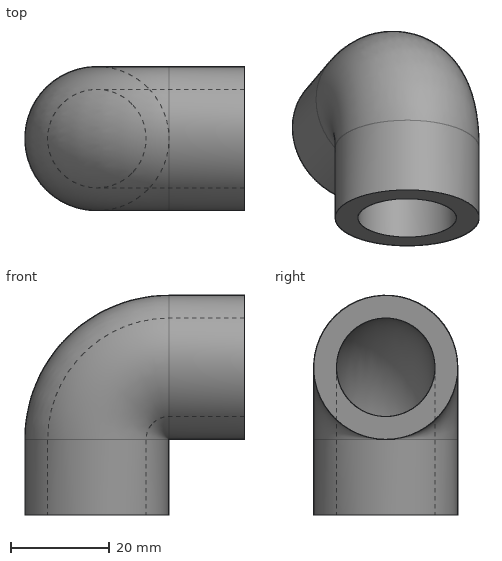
import cadquery as cq

overall_length = 44.65
outer_diameter = 29.3
bore_diameter = 20.0

bend_radius = outer_diameter / 2
leg_length = overall_length - outer_diameter
bend_angle = 90


def elbow(diameter):
    """Round bar along a vertical leg, a quarter bend and a horizontal leg."""
    vertical_leg = cq.Workplane("XY").circle(diameter / 2).extrude(-leg_length)
    bend = (
        cq.Workplane("XY")
        .circle(diameter / 2)
        .revolve(bend_angle, (bend_radius, 0, 0), (bend_radius, 1, 0))
    )
    horizontal_leg = (
        cq.Workplane("YZ", origin=(bend_radius, 0, bend_radius))
        .circle(diameter / 2)
        .extrude(leg_length)
    )
    return vertical_leg.union(bend).union(horizontal_leg)


result = elbow(outer_diameter).cut(elbow(bore_diameter))